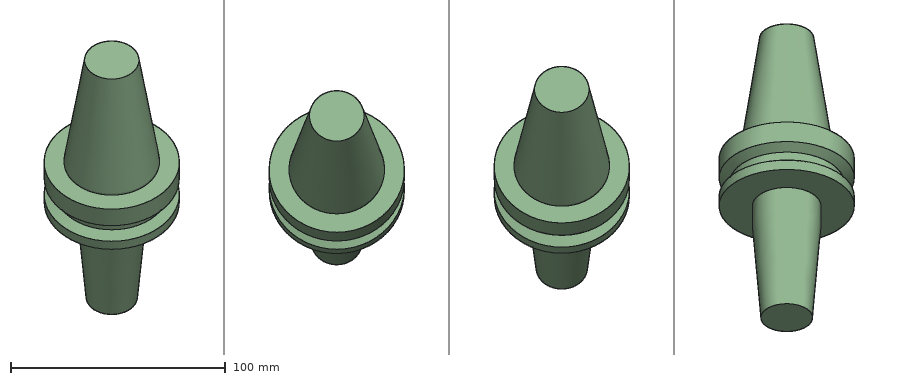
import cadquery as cq

total_length = 154.3

taper_gauge_diameter = 44.5
taper_rate = 7 / 24
taper_length = 65.5
neck_length = 1.0

flange_diameter = 63.0
flange_upper_rim = 10.8
flange_lower_rim = 5.2
groove_floor_diameter = 53.4
groove_floor_width = 4.6
groove_flank_height = 2.8

collar_diameter = 32.0
collar_length = 11.3
nose_tip_diameter = 24.0

taper_base_z = total_length - taper_length
flange_top_z = taper_base_z - neck_length
groove_top_z = flange_top_z - flange_upper_rim
floor_top_z = groove_top_z - groove_flank_height
floor_bottom_z = floor_top_z - groove_floor_width
groove_bottom_z = floor_bottom_z - groove_flank_height
flange_bottom_z = groove_bottom_z - flange_lower_rim
collar_bottom_z = flange_bottom_z - collar_length

taper_base_radius = taper_gauge_diameter / 2
taper_top_radius = (taper_gauge_diameter - taper_rate * taper_length) / 2
flange_radius = flange_diameter / 2
groove_radius = groove_floor_diameter / 2
collar_radius = collar_diameter / 2
nose_tip_radius = nose_tip_diameter / 2

profile = [
    (0, 0),
    (nose_tip_radius, 0),
    (collar_radius, collar_bottom_z),
    (collar_radius, flange_bottom_z),
    (flange_radius, flange_bottom_z),
    (flange_radius, groove_bottom_z),
    (groove_radius, floor_bottom_z),
    (groove_radius, floor_top_z),
    (flange_radius, groove_top_z),
    (flange_radius, flange_top_z),
    (taper_base_radius, flange_top_z),
    (taper_base_radius, taper_base_z),
    (taper_top_radius, total_length),
    (0, total_length),
]

result = cq.Workplane("XZ").polyline(profile).close().revolve(360, (0, 0, 0), (0, 1, 0))